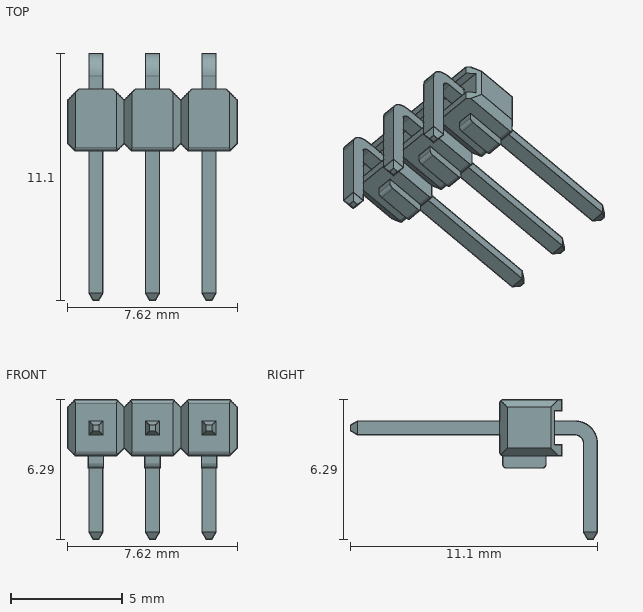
import cadquery as cq

position_count = 3
pitch = 2.54
overall_length = 11.11
overall_height = 6.29

housing_width = pitch
housing_height = 2.53
housing_depth = 2.8
housing_top = 1.28
housing_bottom = housing_top - housing_height
side_chamfer = 0.34
rear_chamfer = 0.5
front_round = 0.18
rear_slot_height = 1.52
rear_slot_depth = 0.32

pin_size = 0.63
pin_front_reach = 6.71
pin_rear_reach = overall_length - pin_front_reach - housing_depth
tail_drop = overall_height - housing_top
bend_inner_radius = 0.38
tip_length = 0.32
tip_size = 0.25

foot_width = 0.7
foot_length = 1.95
foot_height = 0.55
foot_setback = 0.13
foot_round = 0.18


def make_housing():
    """Block with bevelled sides, a slot across the rear and a hole for the pin."""
    half_width = housing_width / 2
    middle_z = (housing_top + housing_bottom) / 2
    plan = (
        cq.Workplane("XY", origin=(0, 0, housing_bottom))
        .moveTo(-half_width + side_chamfer, 0)
        .lineTo(half_width - side_chamfer, 0)
        .lineTo(half_width, side_chamfer)
        .lineTo(half_width, housing_depth - rear_chamfer)
        .lineTo(half_width - rear_chamfer, housing_depth)
        .lineTo(-half_width + rear_chamfer, housing_depth)
        .lineTo(-half_width, housing_depth - rear_chamfer)
        .lineTo(-half_width, side_chamfer)
        .close()
        .extrude(housing_height)
    )
    elevation = (
        cq.Workplane("XZ", origin=(0, 0, middle_z))
        .rect(housing_width, housing_height)
        .extrude(-housing_depth)
        .edges("|Y")
        .chamfer(side_chamfer)
    )
    profile = (
        cq.Workplane("XY", origin=(0, housing_depth / 2, middle_z))
        .box(housing_width, housing_depth, housing_height)
        .faces("<Y")
        .edges("|X")
        .fillet(front_round)
    )
    rear_slot = (
        cq.Workplane("XY", origin=(0, housing_depth - rear_slot_depth / 2, middle_z))
        .box(housing_width, rear_slot_depth, rear_slot_height)
    )
    pin_hole = cq.Workplane("XZ").rect(pin_size, pin_size).extrude(-housing_depth)
    return plan.intersect(elevation).intersect(profile).cut(rear_slot).cut(pin_hole)


def make_tip(end_plane):
    """Four-sided taper that grows from a pin end along the plane normal."""
    return (
        cq.Workplane(end_plane)
        .rect(pin_size, pin_size)
        .workplane(offset=tip_length)
        .rect(tip_size, tip_size)
        .loft(ruled=True)
    )


def make_pin():
    """Square wire bent down through a right angle behind the housing, both ends tapered."""
    front_end = -pin_front_reach + tip_length
    tail_y = housing_depth + pin_rear_reach - pin_size / 2
    tail_end = -tail_drop + tip_length
    bend_radius = bend_inner_radius + pin_size / 2
    path = (
        cq.Workplane("YZ")
        .moveTo(front_end, 0)
        .lineTo(tail_y - bend_radius, 0)
        .tangentArcPoint((bend_radius, -bend_radius))
        .lineTo(tail_y, tail_end)
    )
    front_plane = cq.Plane(origin=(0, front_end, 0), xDir=(1, 0, 0), normal=(0, -1, 0))
    tail_plane = cq.Plane(origin=(0, tail_y, tail_end), xDir=(1, 0, 0), normal=(0, 0, -1))
    wire = cq.Workplane(front_plane).rect(pin_size, pin_size).sweep(path)
    return wire.union(make_tip(front_plane)).union(make_tip(tail_plane))


def make_foot():
    """Standoff pad with rounded lower ends, resting against the underside of the housing."""
    middle_y = foot_setback + foot_length / 2
    middle_z = housing_bottom - foot_height / 2
    return (
        cq.Workplane("XY", origin=(0, middle_y, middle_z))
        .box(foot_width, foot_length, foot_height)
        .faces("<Z")
        .edges("|X")
        .fillet(foot_round)
    )


housings = []
pins = []
feet = []
for index in range(position_count):
    position = cq.Vector((index - (position_count - 1) / 2) * pitch, 0, 0)
    housings.append(make_housing().translate(position).val())
    pins.append(make_pin().translate(position).val())
    feet.append(make_foot().translate(position).val())

result = cq.Compound.makeCompound([*housings, *pins, *feet])